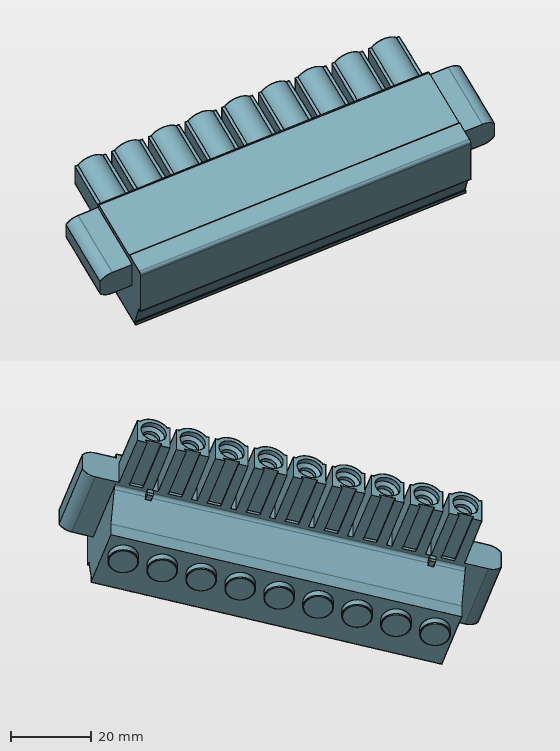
import cadquery as cq
import math

pole_count = 9
pitch = 10.2
housing_length = pole_count * pitch
overall_length = 109.2

screw_height = 2.0
underside_z = 16.8
ledge_top_z = 27.5
overall_height = 27.8

plug_length = 14.7
overall_depth = 38.9

toe_x, toe_top_z = 19.3, 6.0
throat_x = 16.6
throat_radius = 0.9
heel_x = 35.9
heel_notch, heel_height = 0.3, 1.1
back_step_x, back_step_z = 37.7, 11.1
back_chamfer = 0.4
crown_start_x = 32.5
crown_ramp = 0.3
crown_rounding = 0.9
front_bevel_depth, front_bevel_height = 0.5, 0.3

plug_root_width = 8.7
plug_tip_width = 8.5
plug_shoulder_z = 24.2
plug_axis_z = 21.4
plug_crown_radius = 4.5
socket_mouth_radius = 3.3
socket_radius = 2.2
mouth_depth = 1.3
funnel_depth = 0.7
socket_depth = 3.0
keyway_height = 0.9
keyway_mouth_width = 3.4
keyway_roof_width = 4.1

ear_depth = 19.3
ear_height = 9.0
ear_crown_length = 3.4
ear_crown_drop = 1.9

screw_radius = 3.8
screw_x = 25.3
screw_edge = 0.2
nib_offset = 36.8
nib_width = 1.5
nib_length, nib_height = 2.1, 1.6
nib_edge = 0.4


def make_housing():
    """Main body: one outline in XZ, extruded along the row of poles."""
    half = housing_length / 2
    outline = (
        cq.Workplane("XZ", origin=(0, half, 0))
        .moveTo(toe_x, screw_height)
        .lineTo(heel_x, screw_height)
        .lineTo(heel_x, screw_height + heel_height)
        .lineTo(heel_x - heel_notch, screw_height + heel_height)
        .lineTo(back_step_x, back_step_z)
        .lineTo(overall_depth - back_chamfer, back_step_z)
        .lineTo(overall_depth, back_step_z + back_chamfer)
        .lineTo(overall_depth, overall_height)
        .lineTo(crown_start_x, overall_height)
        .lineTo(crown_start_x - crown_ramp, ledge_top_z)
        .lineTo(plug_length + front_bevel_depth, ledge_top_z)
        .lineTo(plug_length, ledge_top_z - front_bevel_height)
        .lineTo(plug_length, underside_z)
        .lineTo(throat_x - throat_radius, underside_z)
        .radiusArc((throat_x, underside_z - throat_radius), throat_radius)
        .lineTo(toe_x, toe_top_z)
        .close()
    )
    housing = outline.extrude(housing_length)
    return housing.edges("|Y and >Z and >X").fillet(crown_rounding)


def make_ears():
    """Bar through the housing whose two ends stand out as ears with arched corners."""
    tip = overall_length / 2
    shoulder = tip - ear_crown_length
    top = underside_z + ear_height
    half_sweep = math.atan2(ear_crown_drop, ear_crown_length)
    radius = ear_crown_length / math.sin(2 * half_sweep)
    return (
        cq.Workplane("YZ", origin=(plug_length, 0, 0))
        .moveTo(-shoulder, top)
        .lineTo(shoulder, top)
        .radiusArc((tip, top - ear_crown_drop), radius)
        .lineTo(tip, underside_z + ear_crown_drop)
        .radiusArc((shoulder, underside_z), radius)
        .lineTo(-shoulder, underside_z)
        .radiusArc((-tip, underside_z + ear_crown_drop), radius)
        .lineTo(-tip, top - ear_crown_drop)
        .radiusArc((-shoulder, top), radius)
        .close()
        .extrude(ear_depth)
    )


def make_plug():
    """Contact sleeve: slightly tapered base, arched crown, stepped funnel socket, keyway below."""
    base = (
        cq.Workplane("XY", origin=(0, 0, underside_z))
        .moveTo(0, -plug_tip_width / 2)
        .lineTo(plug_length, -plug_root_width / 2)
        .lineTo(plug_length, plug_root_width / 2)
        .lineTo(0, plug_tip_width / 2)
        .close()
        .extrude(plug_shoulder_z - underside_z)
    )
    shoulder_rise = plug_shoulder_z - plug_axis_z
    half_chord = math.sqrt(plug_crown_radius**2 - shoulder_rise**2)
    crown = (
        cq.Workplane("YZ")
        .moveTo(-half_chord, plug_shoulder_z)
        .threePointArc((0, plug_axis_z + plug_crown_radius), (half_chord, plug_shoulder_z))
        .close()
        .extrude(plug_length)
    )
    socket = (
        cq.Workplane("XY")
        .lineTo(0, socket_mouth_radius)
        .lineTo(mouth_depth, socket_mouth_radius)
        .lineTo(mouth_depth + funnel_depth, socket_radius)
        .lineTo(socket_depth, socket_radius)
        .lineTo(socket_depth, 0)
        .close()
        .revolve(360, (0, 0, 0), (1, 0, 0))
        .translate((0, 0, plug_axis_z))
    )
    keyway = (
        cq.Workplane("YZ")
        .moveTo(-keyway_mouth_width / 2, underside_z)
        .lineTo(keyway_mouth_width / 2, underside_z)
        .lineTo(keyway_roof_width / 2, underside_z + keyway_height)
        .lineTo(-keyway_roof_width / 2, underside_z + keyway_height)
        .close()
        .extrude(plug_length)
    )
    return base.union(crown).cut(socket).cut(keyway)


def make_screw():
    """Round screw head standing out of the underside of the housing."""
    head = cq.Workplane("XY").center(screw_x, 0).circle(screw_radius).extrude(screw_height)
    return head.faces("<Z").edges().chamfer(screw_edge)


def make_nib():
    """Small keying block hanging in the step under the front face."""
    nib = cq.Workplane("XY").box(
        nib_length, nib_width, nib_height, centered=(False, True, False)
    )
    nib = nib.edges("|Y and <X and <Z").chamfer(nib_edge)
    return nib.translate((plug_length, 0, underside_z - nib_height))


result = make_housing().union(make_ears())

plug = make_plug()
screw = make_screw()
for pole in range(pole_count):
    pole_y = (pole - (pole_count - 1) / 2) * pitch
    result = result.union(plug.translate((0, pole_y, 0)))
    result = result.union(screw.translate((0, pole_y, 0)))

nib = make_nib()
for side in (-1, 1):
    result = result.union(nib.translate((0, side * nib_offset, 0)))